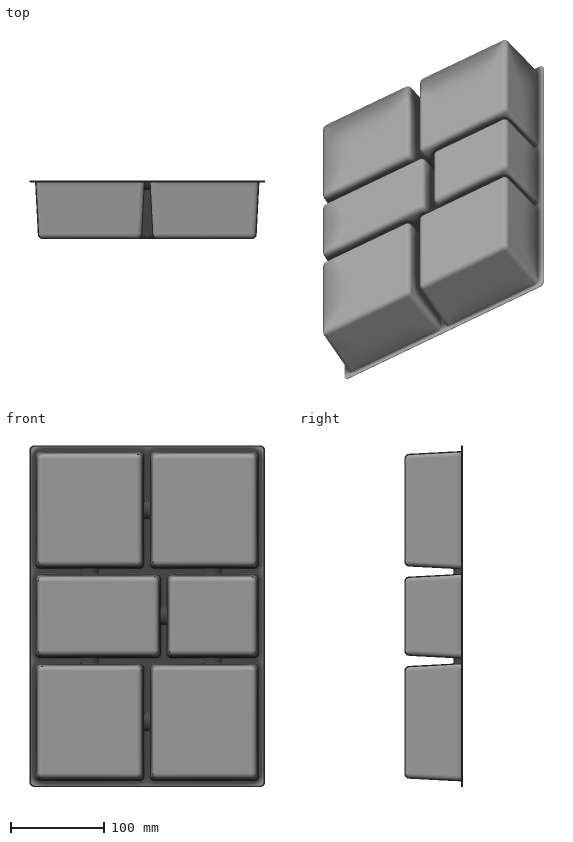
import cadquery as cq

PLATE_WIDTH = 252.0
PLATE_HEIGHT = 366.0
PLATE_THICKNESS = 1.0
PLATE_CORNER_RADIUS = 5.0

TOTAL_DEPTH = 62.0
RIM_MARGIN = 6.0
GAP = 6.0
DRAFT_ANGLE = 3.0
COMPARTMENT_RADIUS = 5.0
MIDDLE_ROW_HEIGHT = 90.0
MIDDLE_LEFT_WIDTH = 135.0

BRIDGE_RADIUS = 9.5
BRIDGE_OVERLAP = 1.0

ROOT_RADIUS = 1.0

right_edge = PLATE_WIDTH / 2 - RIM_MARGIN
left_edge = -right_edge
top_edge = PLATE_HEIGHT / 2 - RIM_MARGIN
half_gap = GAP / 2
middle_row_top = MIDDLE_ROW_HEIGHT / 2
outer_row_bottom = middle_row_top + GAP
middle_left_end = left_edge + MIDDLE_LEFT_WIDTH
middle_right_start = middle_left_end + GAP

outer_row_center = (top_edge + outer_row_bottom) / 2
row_gap_center = middle_row_top + half_gap
middle_gap_center = middle_left_end + half_gap
left_bridge_x = (left_edge - half_gap) / 2
right_bridge_x = (middle_right_start + right_edge) / 2


def make_plate():
    plate = cq.Workplane("XZ").rect(PLATE_WIDTH, PLATE_HEIGHT).extrude(PLATE_THICKNESS)
    return plate.edges("|Y").fillet(PLATE_CORNER_RADIUS)


def make_compartment(x_start, x_end, z_start, z_end):
    """Drafted block with rounded sides and floor, widest where it leaves the plate."""
    center = ((x_start + x_end) / 2, -PLATE_THICKNESS, (z_start + z_end) / 2)
    block = (
        cq.Workplane("XZ", origin=center)
        .rect(x_end - x_start, z_end - z_start)
        .extrude(TOTAL_DEPTH - PLATE_THICKNESS, taper=DRAFT_ANGLE)
    )
    return block.edges("not >Y").fillet(COMPARTMENT_RADIUS)


def make_bridge(x, z, plane):
    """Half cylinder in front of the back face, crossing the gap along the normal of the plane."""
    half_length = half_gap + BRIDGE_OVERLAP
    cylinder = cq.Workplane(plane, origin=(x, 0, z)).circle(BRIDGE_RADIUS).extrude(half_length, both=True)
    front_space = (
        cq.Workplane("XZ", origin=(x, 0, z))
        .rect(2 * BRIDGE_RADIUS, 2 * BRIDGE_RADIUS)
        .extrude(BRIDGE_RADIUS)
    )
    return cylinder.intersect(front_space)


def round_roots(tray):
    """Fillet where compartments, bridges and the front face of the plate meet each other."""
    half_width = right_edge + RIM_MARGIN / 2
    half_height = top_edge + RIM_MARGIN / 2
    half_plate = PLATE_THICKNESS / 2
    root_region = cq.selectors.BoxSelector(
        (-half_width, -BRIDGE_RADIUS - half_plate, -half_height),
        (half_width, -half_plate, half_height),
    )
    return tray.edges(root_region).fillet(ROOT_RADIUS)


result = make_plate()

for row_start, row_end in ((outer_row_bottom, top_edge), (-top_edge, -outer_row_bottom)):
    result = result.union(make_compartment(left_edge, -half_gap, row_start, row_end))
    result = result.union(make_compartment(half_gap, right_edge, row_start, row_end))

result = result.union(make_compartment(left_edge, middle_left_end, -middle_row_top, middle_row_top))
result = result.union(make_compartment(middle_right_start, right_edge, -middle_row_top, middle_row_top))

for bridge_x, bridge_z in ((0, outer_row_center), (middle_gap_center, 0), (0, -outer_row_center)):
    result = result.union(make_bridge(bridge_x, bridge_z, "YZ"))

for bridge_x in (left_bridge_x, right_bridge_x):
    for bridge_z in (row_gap_center, -row_gap_center):
        result = result.union(make_bridge(bridge_x, bridge_z, "XY"))

result = round_roots(result)